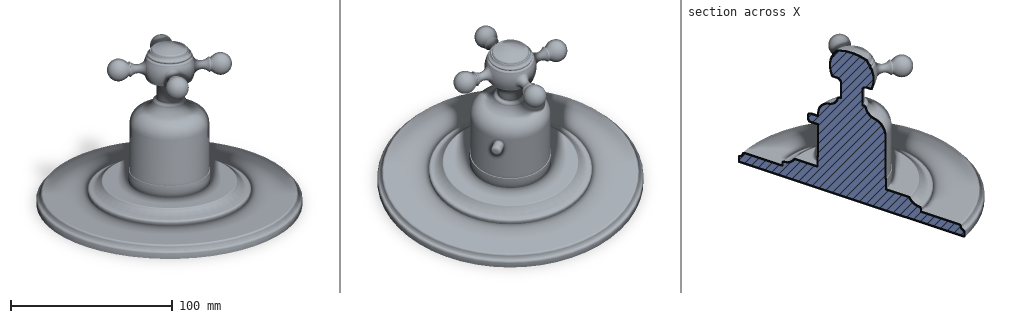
import cadquery as cq
import math

plate_radius = 82.5
plate_side_height = 3.5
plate_shoulder_radius = 81.0
plate_shoulder_height = 5.0
plate_lip_radius = 79.7
plate_lip_height = 7.0
plate_top_radius = 78.3
plate_height = 8.1

escutcheon_radius = 50.7
escutcheon_side_height = 9.9
escutcheon_shoulder_radius = 49.2
escutcheon_shoulder_height = 11.4
escutcheon_lip_radius = 42.3
escutcheon_lip_height = 15.5
escutcheon_top_radius = 41.3
escutcheon_height = 16.0

collar_radius = 25.3
collar_top = 23.5
body_radius = 24.8
body_side_top = 55.1
shoulder_round = 10.0
shoulder_end_radius = 16.2
neck_radius = 10.5
neck_side_top = 70.2
neck_round = 2.0

stem_radius = 8.0
stem_top = 83.0
flare_radius = 10.7

arm_height = 93.5
hub_edge_radius = 14.9
hub_half_band = 6.5
hub_round = 1.3

cap_groove_radius = 13.2
bead_radius = 13.9
bead_side_top = 102.2
bead_top_radius = 13.5
bead_top = 102.9
cap_step_radius = 12.0
cap_step_height = 104.8
cap_side_radius = 11.5
dome_radius = 10.0
dome_base = 106.3
overall_height = 108.0

arm_count = 4
first_arm_angle = 45
arm_root_distance = 15.2
arm_root_radius = 5.3
arm_waist_distance = 19.6
arm_waist_radius = 2.8
ring_distance = 24.6
ring_thickness = 0.5
ring_radius = 4.8
ball_radius = 7.1
ball_distance = 32.0
ball_neck_start = 25.8
ball_neck_end = 27.9

pin_radius = 3.3
pin_reach = 32.0
pin_height = 50.0
pin_round = 2.0

QUARTER_ROUND = (math.sqrt(2) - 1) / 2
SOFT_ROUND = 0.15
SHALLOW_COVE = -0.13


def arc_middle(start, end, depth_ratio):
    """Middle point of an arc that bulges to the right of the way from start to end."""
    dx = end[0] - start[0]
    dy = end[1] - start[1]
    return ((start[0] + end[0]) / 2 + depth_ratio * dy, (start[1] + end[1]) / 2 - depth_ratio * dx)


def revolved(path):
    """Solid of revolution about Z, whose outline starts and ends on the axis.

    Each path entry is (radius, height, depth_ratio); a zero ratio makes a straight line to the point.
    """
    outline = cq.Workplane("XZ")
    here = (0, 0)
    for radius, height, depth_ratio in path:
        point = (radius, height)
        if depth_ratio:
            outline = outline.threePointArc(arc_middle(here, point, depth_ratio), point)
        else:
            outline = outline.lineTo(*point)
        here = point
    return outline.close().revolve(360, (0, 0, 0), (0, 1, 0))


def central_body():
    """Everything round about the Z axis, from the wall plate up to the cap."""
    shoulder_centre = body_radius - shoulder_round
    shoulder_end_rise = math.sqrt(shoulder_round**2 - (shoulder_end_radius - shoulder_centre) ** 2)
    shoulder_sweep = math.atan2(shoulder_end_rise, shoulder_end_radius - shoulder_centre)
    shoulder_bow = math.tan(shoulder_sweep / 4) / 2
    hub_bow = math.tan(math.atan2(hub_half_band, hub_edge_radius) / 2) / 2
    hub_low_edge = arm_height - hub_half_band
    hub_high_edge = arm_height + hub_half_band
    hub_bottom = hub_low_edge - hub_round
    hub_top = hub_high_edge + hub_round
    neck_top = neck_side_top + neck_round
    dome_bow = math.tan(math.atan2(overall_height - dome_base, dome_radius) / 2) / 2

    plate = [
        (plate_radius, 0, 0),
        (plate_radius, plate_side_height, 0),
        (plate_shoulder_radius, plate_shoulder_height, QUARTER_ROUND),
        (plate_lip_radius, plate_lip_height, SHALLOW_COVE),
        (plate_top_radius, plate_height, QUARTER_ROUND),
    ]
    escutcheon = [
        (escutcheon_radius, plate_height, 0),
        (escutcheon_radius, escutcheon_side_height, 0),
        (escutcheon_shoulder_radius, escutcheon_shoulder_height, QUARTER_ROUND),
        (escutcheon_lip_radius, escutcheon_lip_height, SHALLOW_COVE),
        (escutcheon_top_radius, escutcheon_height, SOFT_ROUND),
    ]
    body = [
        (collar_radius, escutcheon_height, 0),
        (collar_radius, collar_top, 0),
        (body_radius, collar_top, 0),
        (body_radius, body_side_top, 0),
        (shoulder_end_radius, body_side_top + shoulder_end_rise, shoulder_bow),
        (neck_radius, neck_side_top, SHALLOW_COVE),
        (neck_radius - neck_round, neck_top, QUARTER_ROUND),
    ]
    stem_and_hub = [
        (stem_radius, neck_top, 0),
        (stem_radius, stem_top, 0),
        (flare_radius, hub_bottom, -QUARTER_ROUND),
        (hub_edge_radius - hub_round, hub_bottom, 0),
        (hub_edge_radius, hub_low_edge, QUARTER_ROUND),
        (hub_edge_radius, hub_high_edge, hub_bow),
        (hub_edge_radius - hub_round, hub_top, QUARTER_ROUND),
    ]
    cap = [
        (cap_groove_radius, hub_top, 0),
        (bead_radius, bead_side_top, SOFT_ROUND),
        (bead_top_radius, bead_top, SOFT_ROUND),
        (cap_step_radius, cap_step_height, SHALLOW_COVE),
        (cap_side_radius, cap_step_height, 0),
        (dome_radius, dome_base, QUARTER_ROUND),
        (0, overall_height, dome_bow),
    ]
    return revolved(plate + escutcheon + body + stem_and_hub + cap)


def arm():
    """One spoke along +X with its ring and end ball, at arm height."""
    ring_end = ring_distance + ring_thickness
    neck_end_to_centre = ball_distance - ball_neck_end
    ball_neck_end_radius = math.sqrt(ball_radius**2 - neck_end_to_centre**2)
    neck_slope = neck_end_to_centre / ball_neck_end_radius
    ball_neck_radius = ball_neck_end_radius - neck_slope * (ball_neck_end - ball_neck_start)
    arm_centre_line = (1, 0, 0)
    spoke = (
        cq.Workplane("XZ")
        .lineTo(0, arm_root_radius)
        .lineTo(arm_root_distance, arm_root_radius)
        .threePointArc((arm_waist_distance, arm_waist_radius), (ring_distance, ring_radius))
        .lineTo(ring_end, ring_radius)
        .lineTo(ring_end, ball_neck_radius)
        .lineTo(ball_neck_start, ball_neck_radius)
        .lineTo(ball_neck_end, ball_neck_end_radius)
        .lineTo(ball_neck_end, 0)
        .close()
        .revolve(360, (0, 0, 0), arm_centre_line)
    )
    ball = cq.Workplane("XY").sphere(ball_radius).translate((ball_distance, 0, 0))
    return spoke.union(ball).translate((0, 0, arm_height))


def stop_pin():
    """Round-ended pin reaching from the axis out through the +Y side of the body."""
    pin = cq.Workplane("XZ", origin=(0, 0, pin_height)).circle(pin_radius).extrude(-pin_reach)
    return pin.faces(">Y").edges().fillet(pin_round)


result = central_body().union(stop_pin())
for i in range(arm_count):
    angle = first_arm_angle + i * 360 / arm_count
    result = result.union(arm().rotate((0, 0, 0), (0, 0, 1), angle))